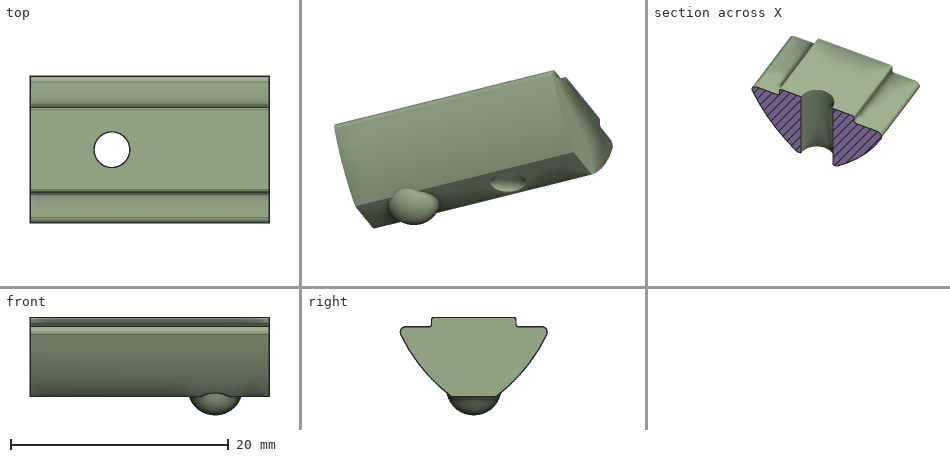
import cadquery as cq
import math

length = 22.0
width = 13.5
body_height = 7.25
total_height = 8.95

rib_width = 7.79
rib_height = 0.84
rib_fillet = 0.22

underside_width = 4.1
flange_tip_radius = 0.53
flank_start_angle = math.radians(24)
flank_mid_y = 5.48
flank_mid_z = 3.56

hole_diameter = 3.25
hole_x = -3.48

ball_radius = 2.5
ball_x = 6.0

flange_top_z = body_height - rib_height
tip_center_y = width / 2 - flange_tip_radius
tip_center_z = flange_top_z - flange_tip_radius
ball_center_z = body_height - total_height + ball_radius


def tip_point(angle):
    """Point on the rounded flange tip, angle measured up from horizontal."""
    return (
        tip_center_y + flange_tip_radius * math.cos(angle),
        tip_center_z + flange_tip_radius * math.sin(angle),
    )


def make_body():
    """Extrude half of the section along X, mirror it and round the rib edges."""
    half_section = (
        cq.Workplane("YZ")
        .moveTo(0, 0)
        .lineTo(underside_width / 2, 0)
        .threePointArc((flank_mid_y, flank_mid_z), tip_point(-flank_start_angle))
        .threePointArc(tip_point(0), tip_point(math.pi / 2))
        .lineTo(rib_width / 2, flange_top_z)
        .lineTo(rib_width / 2, body_height)
        .lineTo(0, body_height)
        .close()
    )
    half_body = half_section.extrude(length / 2, both=True)
    body = half_body.union(half_body.mirror("XZ")).clean()
    for side in (-1, 1):
        for edge_z in (flange_top_z, body_height):
            edge_point = (0, side * rib_width / 2, edge_z)
            rib_edge = cq.selectors.NearestToPointSelector(edge_point)
            body = body.edges("|X").edges(rib_edge).fillet(rib_fillet)
    return body


def make_ball():
    """Spring ball protruding from the underside."""
    return cq.Workplane("XY").sphere(ball_radius).translate((ball_x, 0, ball_center_z))


def make_hole():
    """Vertical through hole."""
    return cq.Workplane("XY").center(hole_x, 0).circle(hole_diameter / 2).extrude(body_height)


result = make_body().union(make_ball()).cut(make_hole())